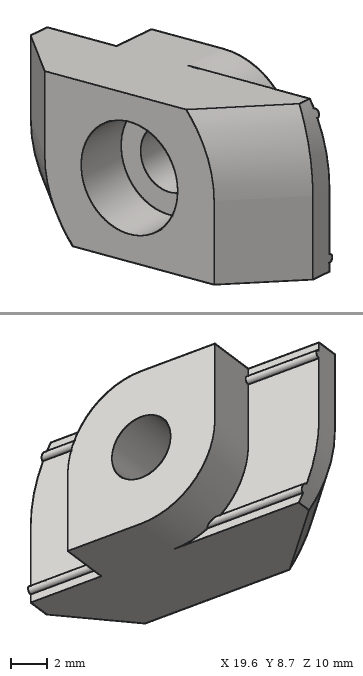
import cadquery as cq
import math

length = 19.6
height = 10.0
flange_depth = 5.47
boss_depth = 3.23
slope_run = 3.92

hole_diameter = 4.0
counterbore_diameter = 6.7
counterbore_depth = 3.7

ridge_radius = 0.25
ridge_offset = 4.21

half_length = length / 2
half_height = height / 2
end_radius = half_length
boss_radius = half_height


def y_cylinder(radius, y_start, depth):
    """Cylinder around the Y axis that runs from y_start toward +Y."""
    return cq.Workplane("XY").circle(radius).extrude(depth).rotate(
        (0, 0, 0), (1, 0, 0), -90
    ).translate((0, y_start, 0))


def with_half_turn(shape):
    """The shape together with its copy turned half way round the Y axis."""
    return shape.union(shape.rotate((0, 0, 0), (0, 1, 0), 180))


def flange_quarter():
    """Upper +X quarter of the flange with square corners."""
    return (
        cq.Workplane("XY")
        .polyline([
            (0, 0),
            (half_length, 0),
            (half_length, slope_run - flange_depth),
            (half_length - slope_run, -flange_depth),
            (0, -flange_depth),
        ])
        .close()
        .extrude(half_height)
    )


def slope_cylinder():
    """Cylinder tangent to the +X slope along the middle plane, with its axis parallel to the slope."""
    axis_shift = end_radius / math.sqrt(2)
    axis_x = half_length - slope_run - axis_shift
    axis_y = -flange_depth + axis_shift
    slope_direction = cq.Vector(1, 1, 0).normalized()
    start = cq.Vector(axis_x, axis_y, 0) - slope_direction * length
    return cq.Workplane(obj=cq.Solid.makeCylinder(end_radius, 2 * length, start, slope_direction))


def make_flange():
    square_quarter = flange_quarter()
    end_cylinder = y_cylinder(end_radius, -flange_depth, flange_depth)
    round_quarter = square_quarter.intersect(end_cylinder).intersect(slope_cylinder())
    lower_quarter = square_quarter.mirror("XY")
    return with_half_turn(round_quarter.union(lower_quarter))


def make_boss():
    """Round boss filled out to square at the upper -X and lower +X corners."""
    corner = cq.Workplane("XY").box(boss_radius, boss_depth, half_height, centered=False)
    corner = corner.translate((-boss_radius, 0, 0))
    return y_cylinder(boss_radius, 0, boss_depth).union(with_half_turn(corner))


def make_ridges():
    """Half-round ridges along X, trimmed to the rounded ends of the flange."""
    ridge = cq.Workplane("YZ").center(0, ridge_offset).circle(ridge_radius).extrude(length)
    ridge = ridge.translate((-half_length, 0, 0))
    end_cylinder = y_cylinder(end_radius, -ridge_radius, 2 * ridge_radius)
    square_end = cq.Workplane("XY").box(half_length, height, height, centered=(False, True, True))
    square_end = square_end.translate((-half_length, 0, 0))
    return with_half_turn(ridge.intersect(end_cylinder.union(square_end)))


hole = y_cylinder(hole_diameter / 2, -flange_depth, flange_depth + boss_depth)
counterbore = y_cylinder(counterbore_diameter / 2, -flange_depth, counterbore_depth)

result = make_flange().union(make_boss()).union(make_ridges()).cut(hole).cut(counterbore)